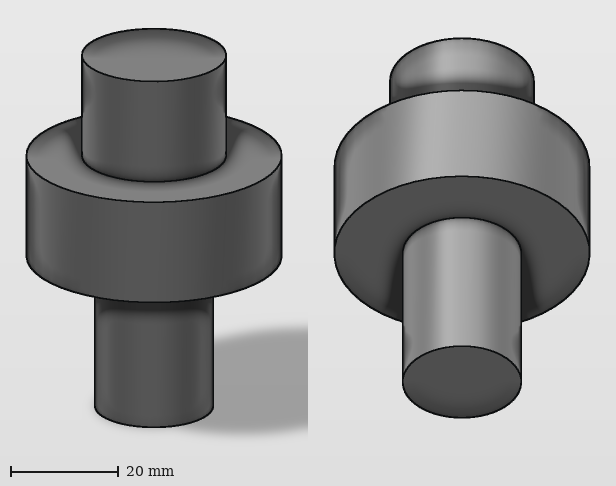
import cadquery as cq

total_height = 70.0
flange_diameter = 47.45
flange_height = 20.0
upper_shaft_diameter = 26.8
upper_shaft_height = 20.0
lower_shaft_diameter = 22.05

lower_shaft_height = total_height - flange_height - upper_shaft_height


def cylinder(diameter, height, base_z):
    """Solid cylinder on the Z axis, standing on the height base_z."""
    return cq.Workplane("XY").workplane(offset=base_z).circle(diameter / 2).extrude(height)


flange_base = lower_shaft_height
flange_top = flange_base + flange_height

lower_shaft = cylinder(lower_shaft_diameter, lower_shaft_height, 0)
flange = cylinder(flange_diameter, flange_height, flange_base)
upper_shaft = cylinder(upper_shaft_diameter, upper_shaft_height, flange_top)

result = lower_shaft.union(flange).union(upper_shaft)